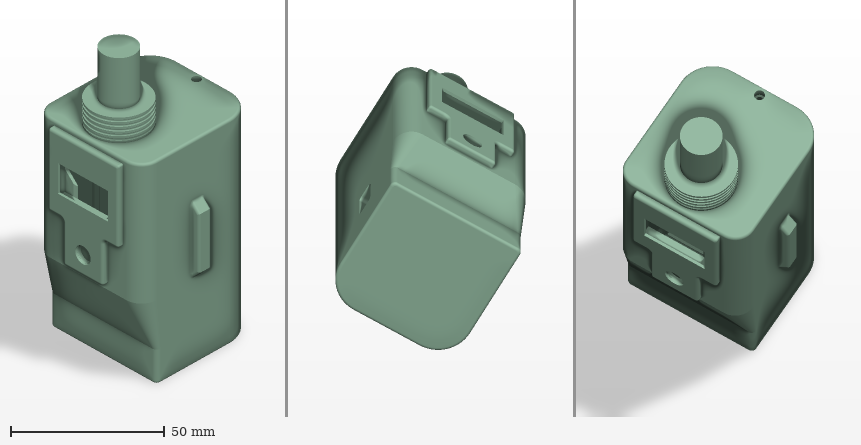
import cadquery as cq
import math


half_width = 24.5
back_y = 38.9
upper_front_y = -14.1
lower_front_y = -7.1
housing_top = 88.2
slope_top = 33.5
slope_bottom = 13.5
slope_back_y = -2.2
back_corner_radius = 12.0
upper_corner_radius = 7.0
lower_corner_radius = 1.8
rim_fillet = 1.0

seam_y = 12.4
seam_top = 85.1
seam_bottom = 5.3
seam_corner_radius = 0.7

front_wall = 2.0
inner_lower_radius = 0.6
bay_radius = 11.0
bay_axis_x = 10.0
web_half_width = 2.5
bay_axis_y = back_y - front_wall - bay_radius
lip_thickness = 1.0
lip_reach = 2.2

screw_y = 35.8
screw_clearance_dia = 3.5
screw_pilot_dia = 2.0
screw_pilot_depth = 7.1

port_y = 11.1
port_z = 22.6
port_width = 7.0
port_height = 13.1
port_corner_radius = 1.4

rib_reach = 3.5
rib_y = 11.7
rib_width = 5.7
rib_bottom = 34.4
rib_top = 64.5
rib_edge_fillet = 1.0
rib_root_fillet = 0.8

plate_thickness = 2.5
plate_half_width = 16.1
plate_top = 86.3
plate_shoulder = 54.1
plate_bottom = 35.9
stem_half_width = 9.0
plate_corner_radius = 0.7
plate_inner_radius = 1.8
plate_edge_fillet = 1.0
button_z = 44.0
button_mouth_dia = 7.1
button_mouth_depth = 1.0
button_hole_dia = 7.0

window_half_width = 11.6
window_bottom = 62.6
window_top = 74.7
window_skin = 1.0
opening_margin_x = 1.2
opening_margin_z = 2.0
bracket_inner_x = 8.0
bracket_outer_x = 14.2
bracket_bottom = 56.7
bracket_shoulder = 64.9
bracket_depth = 1.2
bracket_chamfer = 0.7

overrun = 11.8

edge_pick = 0.1

cable_dia = 14.0
cable_top = 118.2
relief_top = 98.2
relief_core_dia = 18.0
relief_ring_dia = 24.0
ring_count = 6
wire_dia = 1.0
wire_count = 3
wire_circle_radius = 3.0


def x_prism(points, half_length):
    """Prism of a YZ outline, centred on X = 0."""
    return cq.Workplane("YZ").polyline(points).close().extrude(half_length, both=True)


def box(x_range, y_range, z_range):
    """Box spanning a low and a high coordinate on each axis."""
    size = [high - low for low, high in (x_range, y_range, z_range)]
    return cq.Workplane("XY").box(*size, centered=False).translate((x_range[0], y_range[0], z_range[0]))


def front_section(half, rear_y, front_y, radius, z):
    """Closed XY outline at height z, square at the rear and rounded at its two front corners."""
    return (
        cq.Workplane("XY", origin=(0, 0, z))
        .moveTo(-half, rear_y)
        .lineTo(-half, front_y + radius)
        .radiusArc((-half + radius, front_y), -radius)
        .lineTo(half - radius, front_y)
        .radiusArc((half, front_y + radius), -radius)
        .lineTo(half, rear_y)
        .close()
    )


def front_stack(half, rear_y, upper_y, lower_y, upper_radius, lower_radius, bottom, top):
    """Deep upper block, shallow lower block and the sloped transition between them."""
    lower = front_section(half, rear_y, lower_y, lower_radius, bottom).extrude(slope_bottom - bottom)
    upper = front_section(half, rear_y, upper_y, upper_radius, slope_top).extrude(top - slope_top)
    slope = cq.Solid.makeLoft(
        [
            front_section(half, rear_y, lower_y, lower_radius, slope_bottom).val(),
            front_section(half, rear_y, upper_y, upper_radius, slope_top).val(),
        ],
        True,
    )
    return lower.union(upper).union(cq.Workplane(slope))


def grip_rib():
    """Raised rib on the +X side, trapezoidal along Z, with rounded outer edges."""
    outline = [
        (half_width, rib_bottom),
        (half_width + rib_reach, rib_bottom + rib_reach),
        (half_width + rib_reach, rib_top - rib_reach),
        (half_width, rib_top),
    ]
    rib = cq.Workplane("XZ", origin=(0, rib_y, 0)).polyline(outline).close().extrude(rib_width / 2, both=True)
    return rib.faces("|Y").edges("not <X").fillet(rib_edge_fillet)


def envelope():
    """Outer form of both shells together, solid."""
    front = front_stack(
        half_width, slope_back_y, upper_front_y, lower_front_y,
        upper_corner_radius, lower_corner_radius, 0, housing_top,
    )
    back = box((-half_width, half_width), (slope_back_y, back_y), (0, housing_top))
    back = back.edges("|Z and >Y").fillet(back_corner_radius)
    body = front.union(back)
    body = body.faces(">Z or <Z").edges().fillet(rim_fillet)
    body = body.union(grip_rib())
    root = cq.selectors.BoxSelector(
        (half_width - edge_pick, rib_y - rib_width, rib_bottom - edge_pick),
        (half_width + edge_pick, rib_y + rib_width, rib_top + edge_pick),
    )
    return body.edges(root).fillet(rib_root_fillet)


def back_region():
    """Space that belongs to the back shell: everything behind the seam plus the full base."""
    outline = [
        (upper_front_y - overrun, -overrun),
        (upper_front_y - overrun, seam_bottom),
        (seam_y, seam_bottom),
        (seam_y, seam_top),
        (back_y + overrun, seam_top),
        (back_y + overrun, -overrun),
    ]
    region = x_prism(outline, half_width + overrun)
    for corner_z in (seam_bottom, seam_top):
        corner = cq.selectors.NearestToPointSelector((0, seam_y, corner_z))
        region = region.edges("|X").edges(corner).fillet(seam_corner_radius)
    return region


def front_cavity():
    """Space ahead of the seam, one wall thickness inside the front of the envelope."""
    return front_stack(
        half_width - front_wall, seam_y, upper_front_y + front_wall, lower_front_y + front_wall,
        upper_corner_radius - front_wall, inner_lower_radius, seam_bottom, seam_top,
    )


def back_cavity():
    """Cavity open at the seam whose rear wall is two round bays with a flat-fronted web between them."""
    reach = bay_axis_x + bay_radius
    bay_bottom_y = bay_axis_y + bay_radius
    web_front_y = bay_axis_y + math.sqrt(bay_radius**2 - (bay_axis_x - web_half_width) ** 2)
    return (
        cq.Workplane("XY", origin=(0, 0, seam_bottom))
        .moveTo(-reach, seam_y)
        .lineTo(-reach, bay_axis_y)
        .threePointArc((-bay_axis_x, bay_bottom_y), (-web_half_width, web_front_y))
        .lineTo(web_half_width, web_front_y)
        .threePointArc((bay_axis_x, bay_bottom_y), (reach, bay_axis_y))
        .lineTo(reach, seam_y)
        .close()
        .extrude(seam_top - seam_bottom)
    )


def port():
    """Cutter for the upright rounded slot in the -X side."""
    cutter = box(
        (-half_width - overrun, -bay_axis_x),
        (port_y - port_width / 2, port_y + port_width / 2),
        (port_z - port_height / 2, port_z + port_height / 2),
    )
    return cutter.edges("|X").fillet(port_corner_radius)


def window():
    """Rectangular cutter, wider and taller behind the skin of the face plate."""
    face_y = upper_front_y - plate_thickness
    skin_back_y = face_y + window_skin
    wide = window_half_width + opening_margin_x
    mouth = box((-window_half_width, window_half_width), (face_y, skin_back_y), (window_bottom, window_top))
    opening = box(
        (-wide, wide),
        (skin_back_y, upper_front_y + front_wall),
        (window_bottom - opening_margin_z, window_top + opening_margin_z),
    )
    return mouth.union(opening)


def bracket(side):
    """Block behind a lower window corner; its top rises outward at 45 degrees."""
    rise = bracket_outer_x - bracket_inner_x
    outline = [
        (side * bracket_inner_x, bracket_bottom),
        (side * bracket_outer_x, bracket_bottom),
        (side * bracket_outer_x, bracket_shoulder + rise),
        (side * bracket_inner_x, bracket_shoulder),
    ]
    wall_y = upper_front_y + front_wall
    block = cq.Workplane("XZ", origin=(0, wall_y, 0)).polyline(outline).close().extrude(-bracket_depth)
    middle_z = (bracket_bottom + bracket_shoulder) / 2
    inner_edge = cq.selectors.NearestToPointSelector((side * bracket_inner_x, wall_y, middle_z))
    return block.edges("|Z").edges(inner_edge).chamfer(bracket_chamfer)


def cylinder(diameter, bottom, top, y=0):
    """Upright cylinder on X = 0."""
    return cq.Workplane("XY", origin=(0, y, bottom)).circle(diameter / 2).extrude(top - bottom)


def make_front_shell():
    """Front, roof and forward side walls, with the window brackets."""
    shell = envelope().cut(back_region()).cut(front_cavity()).cut(port()).cut(window())
    for side in (-1, 1):
        shell = shell.union(bracket(side))
    shell = shell.cut(cylinder(screw_clearance_dia, seam_top, housing_top, y=screw_y))
    return shell.cut(cylinder(cable_dia, seam_top, housing_top))


def make_back_shell():
    """Rear walls and base, with a lip on each side that reaches inside the front shell."""
    shell = envelope().intersect(back_region()).cut(back_cavity())
    lip_outer = half_width - front_wall
    for side in (-1, 1):
        lip_x = sorted((side * lip_outer, side * (lip_outer - lip_thickness)))
        lip = box(lip_x, (seam_y - lip_reach, seam_y + seam_corner_radius), (seam_bottom, seam_top))
        lip = lip.intersect(front_cavity().union(back_region()))
        shell = shell.union(lip)
    shell = shell.cut(cylinder(screw_pilot_dia, seam_top - screw_pilot_depth, seam_top, y=screw_y))
    return shell.cut(port())


def make_face_plate():
    """T-shaped plate on the front face."""
    outline = [
        (-plate_half_width, plate_top),
        (plate_half_width, plate_top),
        (plate_half_width, plate_shoulder),
        (stem_half_width, plate_shoulder),
        (stem_half_width, plate_bottom),
        (-stem_half_width, plate_bottom),
        (-stem_half_width, plate_shoulder),
        (-plate_half_width, plate_shoulder),
    ]
    back_plane = cq.Workplane("XZ", origin=(0, upper_front_y, 0))
    plate = back_plane.polyline(outline).close().extrude(plate_thickness)
    for x, z in outline:
        inner_corner = abs(x) == stem_half_width and z == plate_shoulder
        radius = plate_inner_radius if inner_corner else plate_corner_radius
        corner = cq.selectors.NearestToPointSelector((x, upper_front_y - plate_thickness / 2, z))
        plate = plate.edges("|Y").edges(corner).fillet(radius)
    plate = plate.faces("<Y").edges().fillet(plate_edge_fillet)
    plate = plate.cut(window())
    face = cq.Workplane("XZ", origin=(0, upper_front_y - plate_thickness, button_z))
    plate = plate.cut(face.circle(button_hole_dia / 2).extrude(-plate_thickness))
    return plate.cut(face.circle(button_mouth_dia / 2).extrude(-button_mouth_depth))


def make_strain_relief():
    """Sleeve around the cable; rings and gaps are equally thick, with a ring at each end."""
    ring_height = (relief_top - housing_top) / (2 * ring_count - 1)
    relief = cylinder(relief_core_dia, housing_top, relief_top)
    for index in range(ring_count):
        ring_bottom = housing_top + 2 * index * ring_height
        relief = relief.union(cylinder(relief_ring_dia, ring_bottom, ring_bottom + ring_height))
    return relief.cut(cylinder(cable_dia, housing_top, relief_top))


def make_wires():
    """Conductors evenly spaced on a circle inside the cable."""
    return (
        cq.Workplane("XY", origin=(0, 0, seam_top))
        .polarArray(wire_circle_radius, 90, 360, wire_count)
        .circle(wire_dia / 2)
        .extrude(cable_top - seam_top)
    )


def make_cable(wires):
    """Cable jacket with a hole for each wire."""
    return cylinder(cable_dia, seam_top, cable_top).cut(wires)


front_shell = make_front_shell()
back_shell = make_back_shell()
face_plate = make_face_plate()
strain_relief = make_strain_relief()
wires = make_wires()
cable = make_cable(wires)

result = cq.Compound.makeCompound(
    [
        front_shell.val(),
        back_shell.val(),
        face_plate.val(),
        strain_relief.val(),
        cable.val(),
        *wires.vals(),
    ]
)